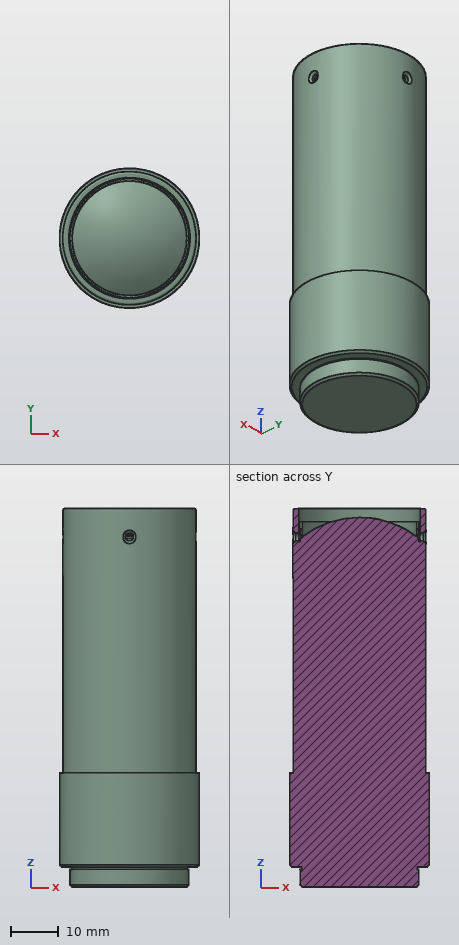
import cadquery as cq
import math

total_length = 79.5
nose_top = 3.75
flange_bottom = 4.2
flange_top = 24.0

nose_diameter = 25.0
relief_diameter = 24.3
flange_diameter = 29.4
tube_diameter = 28.0
edge_chamfer = 0.5
tube_end_fillet = 0.5

bore_diameter = 25.46
bore_depth = 7.0
cell_diameter = 25.0
cell_top_depth = 2.8
cell_groove_root_diameter = 24.3
cell_groove_depth = 5.9

slot_width = 1.0
slot_depth = 1.5

lens_diameter = 24.0
lens_rim_depth = 5.9
lens_apex_depth = 1.85

screw_hole_diameter = 1.6
screw_mouth_diameter = 2.8
screw_depth_from_top = 6.0
screw_count = 4


def cylinder(diameter, bottom, top):
    """Cylinder on the Z axis between two heights."""
    return cq.Workplane("XY").workplane(offset=bottom).circle(diameter / 2).extrude(top - bottom)


def make_barrel():
    """Stepped outer barrel with a chamfered nose and flange and a rounded tube end."""
    nose = cylinder(nose_diameter, 0, nose_top).faces("<Z").chamfer(edge_chamfer)
    relief = cylinder(relief_diameter, nose_top, flange_bottom)
    flange = cylinder(flange_diameter, flange_bottom, flange_top).faces("<Z").chamfer(edge_chamfer)
    tube = cylinder(tube_diameter, flange_top, total_length).faces(">Z").edges().fillet(tube_end_fillet)
    return nose.union(relief).union(flange).union(tube)


def make_bore():
    """Plain bore in the front end of the tube."""
    return cylinder(bore_diameter, total_length - bore_depth, total_length)


def make_screw_hole(angle):
    """Radial hole through the tube wall, with a countersunk mouth."""
    mouth_radius = screw_mouth_diameter / 2
    hole_radius = screw_hole_diameter / 2
    outer = tube_diameter / 2
    taper_end = outer - (mouth_radius - hole_radius)
    inner = cell_diameter / 2
    hole = (
        cq.Workplane("XY")
        .moveTo(inner, 0)
        .lineTo(inner, hole_radius)
        .lineTo(taper_end, hole_radius)
        .lineTo(outer, mouth_radius)
        .lineTo(outer, 0)
        .close()
        .revolve(360, (0, 0, 0), (1, 0, 0))
    )
    hole_z = total_length - screw_depth_from_top
    return hole.translate((0, 0, hole_z)).rotate((0, 0, 0), (0, 0, 1), angle)


def make_lens_cell():
    """Lens cell: a slotted ring with a V groove outside and the domed lens inside."""
    cell_radius = cell_diameter / 2
    lens_edge = lens_diameter / 2
    cell_bottom = total_length - bore_depth
    cell_top = total_length - cell_top_depth
    rim_z = total_length - lens_rim_depth
    apex_z = total_length - lens_apex_depth

    sag = apex_z - rim_z
    dome_radius = (lens_edge**2 + sag**2) / (2 * sag)
    half_angle = math.asin(lens_edge / dome_radius) / 2
    arc_mid = (dome_radius * math.sin(half_angle), apex_z - dome_radius * (1 - math.cos(half_angle)))

    groove_root = cell_groove_root_diameter / 2
    groove_z = total_length - cell_groove_depth
    groove_half_width = cell_radius - groove_root

    cell = (
        cq.Workplane("XZ")
        .moveTo(0, cell_bottom)
        .lineTo(cell_radius, cell_bottom)
        .lineTo(cell_radius, groove_z - groove_half_width)
        .lineTo(groove_root, groove_z)
        .lineTo(cell_radius, groove_z + groove_half_width)
        .lineTo(cell_radius, cell_top)
        .lineTo(lens_edge, cell_top)
        .lineTo(lens_edge, rim_z)
        .threePointArc(arc_mid, (0, apex_z))
        .close()
        .revolve(360, (0, 0, 0), (0, 1, 0))
    )

    slot_bottom = cell_top - slot_depth
    slot_bar = (
        cq.Workplane("XY")
        .workplane(offset=slot_bottom)
        .rect(bore_diameter, slot_width)
        .extrude(slot_depth)
    )
    return cell.cut(slot_bar.cut(cylinder(lens_diameter, slot_bottom, cell_top)))


result = make_barrel().cut(make_bore())
for index in range(screw_count):
    result = result.cut(make_screw_hole(index * 360 / screw_count))
result = result.union(make_lens_cell())